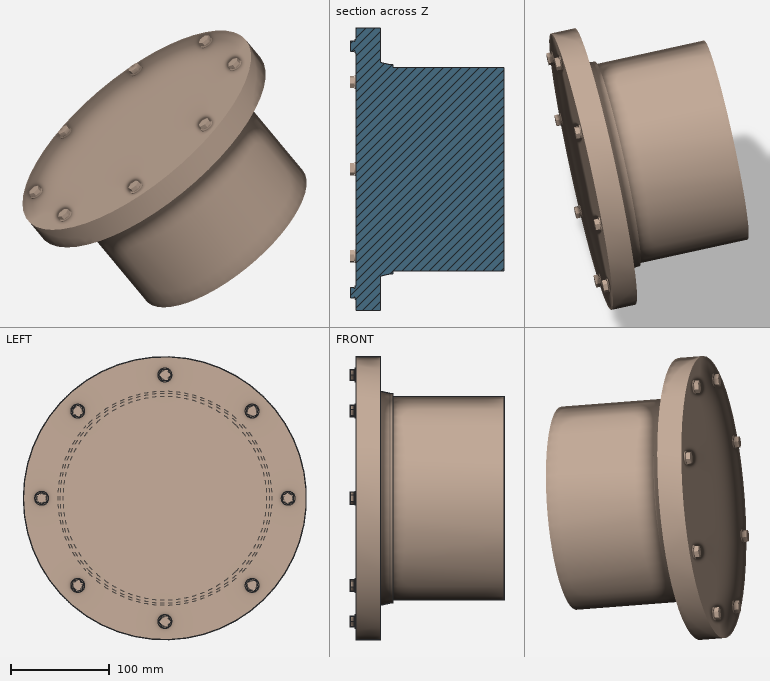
import cadquery as cq
import math

OVERALL_LENGTH = 156.0
HEAD_HEIGHT = 4.2
NECK_HEIGHT = 0.8
WASHER_THICKNESS = 1.0
FLANGE_THICKNESS = 25.0
TAPER_LENGTH = 9.5
COLLAR_LENGTH = 3.0

FLANGE_DIAMETER = 286.0
TAPER_BASE_DIAMETER = 216.4
COLLAR_DIAMETER = 212.0
TUBE_DIAMETER = 206.0

BOLT_COUNT = 8
BOLT_CIRCLE_DIAMETER = 249.0
WASHER_DIAMETER = 14.0
NECK_DIAMETER = 9.4
HEAD_ACROSS_FLATS = 11.0
HEAD_SIDES = 6

head_start = -OVERALL_LENGTH / 2
neck_start = head_start + HEAD_HEIGHT
washer_start = neck_start + NECK_HEIGHT
flange_start = washer_start + WASHER_THICKNESS
flange_end = flange_start + FLANGE_THICKNESS
taper_end = flange_end + TAPER_LENGTH
collar_end = taper_end + COLLAR_LENGTH
tube_end = OVERALL_LENGTH / 2


def make_body():
    """Flange, tapered collar and tube, revolved about the X axis."""
    profile = (
        cq.Workplane("XY")
        .moveTo(flange_start, 0)
        .lineTo(flange_start, FLANGE_DIAMETER / 2)
        .lineTo(flange_end, FLANGE_DIAMETER / 2)
        .lineTo(flange_end, TAPER_BASE_DIAMETER / 2)
        .lineTo(taper_end, COLLAR_DIAMETER / 2)
        .lineTo(collar_end, COLLAR_DIAMETER / 2)
        .lineTo(collar_end, TUBE_DIAMETER / 2)
        .lineTo(tube_end, TUBE_DIAMETER / 2)
        .lineTo(tube_end, 0)
        .close()
    )
    return profile.revolve(360, (0, 0, 0), (1, 0, 0))


def make_bolt():
    """Washer, round neck and hexagon head on the +Y side, with two head flats facing radially."""
    across_corners = HEAD_ACROSS_FLATS / math.cos(math.pi / HEAD_SIDES)
    bolt_radius = BOLT_CIRCLE_DIAMETER / 2
    washer = (
        cq.Workplane("YZ", origin=(washer_start, bolt_radius, 0))
        .circle(WASHER_DIAMETER / 2)
        .extrude(WASHER_THICKNESS)
    )
    neck = (
        cq.Workplane("YZ", origin=(neck_start, bolt_radius, 0))
        .circle(NECK_DIAMETER / 2)
        .extrude(NECK_HEIGHT)
    )
    head = (
        cq.Workplane("YZ", origin=(head_start, bolt_radius, 0))
        .transformed(rotate=(0, 0, 90))
        .polygon(HEAD_SIDES, across_corners)
        .extrude(HEAD_HEIGHT)
    )
    return washer.union(neck).union(head)


result = make_body()
bolt = make_bolt()
for index in range(BOLT_COUNT):
    angle = index * 360 / BOLT_COUNT
    result = result.union(bolt.rotate((0, 0, 0), (1, 0, 0), angle))